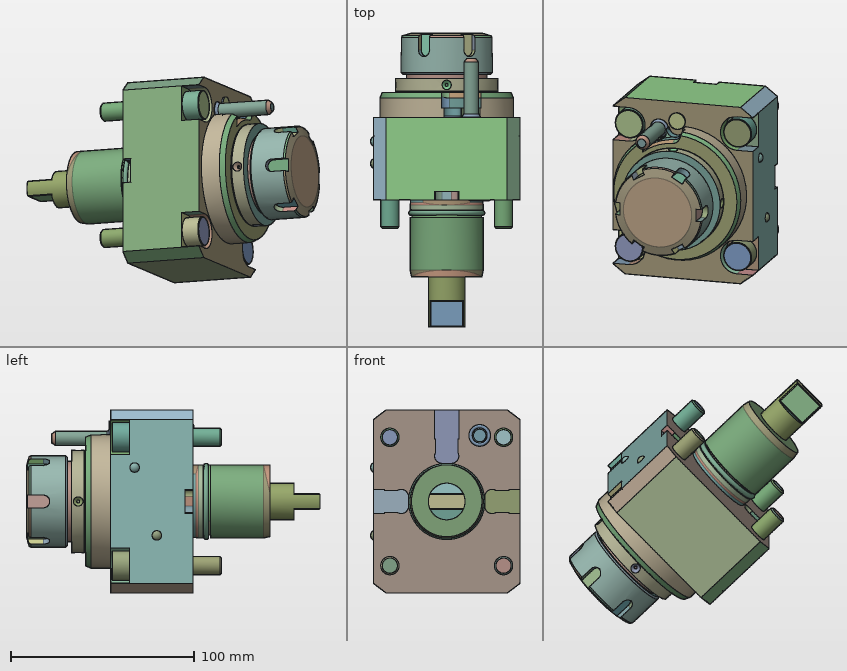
import cadquery as cq


BODY_WIDTH = 80.0
BODY_LENGTH = 45.0
BODY_HEIGHT = 100.0
CORNER_CUT_X = 7.0
CORNER_CUT_Z = 5.3

SLOT_DEPTH = 4.5
SLOT_MOUTH_WIDTH = 13.2
SLOT_WIDTH = 12.2
SLOT_MOUTH_START = 34.0
SLOT_END = 20.8
SLOT_RELIEF_RADIUS = 4.0
SLOT_RELIEF_OFFSET = 2.6

BOLT_X = 31.0
BOLT_Z = 35.0
BOLT_RADIUS = 5.0
BOLT_TIP_Y = -15.5
BOLT_TIP_CHAMFER = 0.85
HEAD_RADIUS = 8.0
HEAD_TOP_Y = 44.3
HEAD_CHAMFER = 0.4
HEAD_SEAT_Y = 34.7
HEAD_POCKET_WIDTH = 19.0

SHANK_RADIUS = 20.0
SHANK_END_Y = -42.0
SHANK_TAPER_Y = -38.3
SHANK_END_RADIUS = 19.2
NECK_RADIUS = 19.75
NECK_END_Y = -1.5
NECK_TAPER_END_Y = -2.8
GROOVE_START_Y = -5.5
GROOVE_END_Y = -9.5
GROOVE_RADIUS = 18.4
ORING_Y = -7.1
ORING_SECTION = 1.4
ORING_RADIUS = 19.4
CORE_RADIUS = 19.0
CORE_OFFSET = SHANK_RADIUS - CORE_RADIUS

SHAFT_RADIUS = 10.0
SHAFT_SHOULDER_Y = -55.0
TANG_TIP_Y = -69.2
TANG_THICKNESS = 8.6
TANG_CHAMFER = 0.45

FLANGE_RADIUS = 36.5
FLANGE_FACE_RADIUS = 35.2
FLANGE_CHAMFER_Y = 55.6
FLANGE_END_Y = 58.6
RING_RADIUS = 28.0
RING_STEP_RADIUS = 27.6
RING_STEP_Y = 58.9
RING_CHAMFER_Y = 59.4
RING_END_Y = 66.3
NOSE_NECK_RADIUS = 22.0
NUT_START_Y = 68.5
NUT_CHAMFER = 1.0
NUT_RADIUS = 25.0
NUT_EDGE_Y = 88.5
NUT_RIM_Y = 89.5
NUT_RIM_RADIUS = 24.5
NUT_FACE_RADIUS = 19.5
NUT_END_Y = 90.9

SPANNER_SLOT_COUNT = 6
SPANNER_SLOT_WIDTH = 6.9
SPANNER_SLOT_END_Y = 78.2
SPANNER_SLOT_FLOOR = 21.7

RECESS_COUNT = 4
RECESS_Y = 62.7
RECESS_RADIUS = 2.6
RECESS_DEPTH = 1.8
SOCKET_RADIUS = 0.8
SOCKET_DEPTH = 1.5

SCREW_X = 3.15
SCREW_Z = 39.25
SCREW_RADIUS = 4.65
SCREW_TOP_Y = 45.85
SCREW_CLEARANCE_Z = 36.0
PIN_X = 13.4
PIN_Z = 34.4
PIN_RADIUS = 4.0
PIN_COLLAR_RADIUS = 5.1
PIN_COLLAR_Y = 45.3
PIN_COLLAR_TOP_Y = 46.9
PIN_SHOULDER_Y = 75.1
PIN_TIP_Y = 77.2
PIN_TIP_RADIUS = 2.4
PIN_CLEARANCE_RADIUS = 5.6
CLEARANCE_END_Y = 50.2
NOTCH_LEFT_X = -2.9
NOTCH_RIGHT_X = 18.8
NOTCH_DEPTH = 4.8
NOTCH_CORNER_RADIUS = 4.5

PORT_X = 18.0
PORT_Z = 36.0
PORT_RADIUS = 3.4
PORT_DEPTH = 10.0
SEAL_RADIUS = 5.0
SEAL_SECTION = 1.1
SEAL_PROTRUSION = 0.5

DOME_PLACES = [(31.9, 18.5), (19.8, -18.5)]
DOME_BASE_RADIUS = 2.6
DOME_HEIGHT = 1.6

MARGIN = 1.0


def rod(x, z, radius, y_start, y_end):
    """Cylinder parallel to Y from y_start up to y_end."""
    start = cq.Vector(x, y_start, z)
    return cq.Workplane(obj=cq.Solid.makeCylinder(radius, y_end - y_start, start, cq.Vector(0, 1, 0)))


def turned(profile, x=0, z=0):
    """Revolve a (radius, y) profile about the line parallel to Y through (x, z)."""
    outline = [(0, profile[0][1])] + profile + [(0, profile[-1][1])]
    solid = cq.Workplane("XY").polyline(outline).close().revolve(360, (0, 0), (0, 1))
    return solid.translate((x, 0, z))


def torus(x, y, z, radius, section):
    """Torus whose axis is parallel to Y."""
    return cq.Workplane(obj=cq.Solid.makeTorus(radius, section, cq.Vector(x, y, z), cq.Vector(0, 1, 0)))


def box(x_range, y_range, z_range):
    """Axis-aligned block between the given limits."""
    spans = [limits[1] - limits[0] for limits in (x_range, y_range, z_range)]
    corner = (x_range[0], y_range[0], z_range[0])
    return cq.Workplane("XY").box(*spans, centered=False).translate(corner)


def about_spindle(solid, angle):
    """Turn a solid about the spindle axis."""
    return solid.rotate((0, 0, 0), (0, 1, 0), angle)


def make_block():
    half_width = BODY_WIDTH / 2
    half_height = BODY_HEIGHT / 2
    cut_x = half_width - CORNER_CUT_X
    cut_z = half_height - CORNER_CUT_Z
    outline = [
        (half_width, -cut_z), (half_width, cut_z), (cut_x, half_height), (-cut_x, half_height),
        (-half_width, cut_z), (-half_width, -cut_z), (-cut_x, -half_height), (cut_x, -half_height),
    ]
    return cq.Workplane("XZ").polyline(outline).close().extrude(-BODY_LENGTH)


def make_key_slot():
    """Key slot running up (+Z) from its closed end past the top of the housing."""
    top = BODY_HEIGHT / 2 + MARGIN
    relief_z = SLOT_END + SLOT_RELIEF_RADIUS
    slot = box((-SLOT_WIDTH / 2, SLOT_WIDTH / 2), (0, SLOT_DEPTH), (relief_z, top))
    mouth_half = SLOT_MOUTH_WIDTH / 2
    slot = slot.union(box((-mouth_half, mouth_half), (0, SLOT_DEPTH), (SLOT_MOUTH_START, top)))
    flat_end = box((-SLOT_RELIEF_OFFSET, SLOT_RELIEF_OFFSET), (0, SLOT_DEPTH), (SLOT_END, relief_z))
    slot = slot.union(flat_end)
    for side in (-1, 1):
        relief = rod(side * SLOT_RELIEF_OFFSET, relief_z, SLOT_RELIEF_RADIUS, 0, SLOT_DEPTH)
        slot = slot.union(relief)
    return slot


def make_head_pocket(side, z):
    """Round-ended bolt head pocket, open toward the nearer side of the housing."""
    half = HEAD_POCKET_WIDTH / 2
    inner_x = side * BOLT_X
    outer_x = side * (BODY_WIDTH / 2 + MARGIN)
    channel = box(sorted((inner_x, outer_x)), (HEAD_SEAT_Y, BODY_LENGTH), (z - half, z + half))
    return channel.union(rod(inner_x, z, half, HEAD_SEAT_Y, BODY_LENGTH))


def make_bolt(x, z):
    profile = [
        (BOLT_RADIUS - BOLT_TIP_CHAMFER, BOLT_TIP_Y),
        (BOLT_RADIUS, BOLT_TIP_Y + BOLT_TIP_CHAMFER),
        (BOLT_RADIUS, HEAD_SEAT_Y),
        (HEAD_RADIUS, HEAD_SEAT_Y),
        (HEAD_RADIUS, HEAD_TOP_Y - HEAD_CHAMFER),
        (HEAD_RADIUS - HEAD_CHAMFER, HEAD_TOP_Y),
    ]
    return turned(profile, x, z)


def make_shank():
    profile = [
        (SHANK_END_RADIUS, SHANK_END_Y),
        (SHANK_RADIUS, SHANK_TAPER_Y),
        (SHANK_RADIUS, GROOVE_END_Y),
        (GROOVE_RADIUS, GROOVE_END_Y),
        (GROOVE_RADIUS, GROOVE_START_Y),
        (SHANK_RADIUS, GROOVE_START_Y),
        (SHANK_RADIUS, NECK_TAPER_END_Y),
        (NECK_RADIUS, NECK_END_Y),
        (NECK_RADIUS, SLOT_DEPTH),
    ]
    shank = turned(profile)
    shank = shank.union(rod(0, CORE_OFFSET, CORE_RADIUS, SHANK_END_Y, SLOT_DEPTH))
    return shank.union(make_oring())


def make_oring():
    """O-ring with a round outer side, seated down to the groove floor."""
    bottom_y = ORING_Y - ORING_SECTION
    top_y = ORING_Y + ORING_SECTION
    section = (
        cq.Workplane("XY")
        .moveTo(GROOVE_RADIUS, bottom_y)
        .lineTo(ORING_RADIUS, bottom_y)
        .threePointArc((ORING_RADIUS + ORING_SECTION, ORING_Y), (ORING_RADIUS, top_y))
        .lineTo(GROOVE_RADIUS, top_y)
        .close()
    )
    return section.revolve(360, (0, 0), (0, 1))


def make_drive_shaft():
    half = TANG_THICKNESS / 2
    shaft = rod(0, 0, SHAFT_RADIUS, SHAFT_SHOULDER_Y, SHANK_END_Y)
    tang = rod(0, 0, SHAFT_RADIUS, TANG_TIP_Y, SHAFT_SHOULDER_Y)
    tang = tang.intersect(box((-SHAFT_RADIUS, SHAFT_RADIUS), (TANG_TIP_Y, SHAFT_SHOULDER_Y), (-half, half)))
    tang = tang.faces("<Z or >Z").chamfer(TANG_CHAMFER)
    return shaft.union(tang)


def make_nose():
    """Flange, lock ring, neck and clamping nut, turned in one piece."""
    profile = [
        (FLANGE_RADIUS, BODY_LENGTH),
        (FLANGE_RADIUS, FLANGE_CHAMFER_Y),
        (FLANGE_FACE_RADIUS, FLANGE_END_Y),
        (RING_STEP_RADIUS, FLANGE_END_Y),
        (RING_STEP_RADIUS, RING_STEP_Y),
        (RING_RADIUS, RING_CHAMFER_Y),
        (RING_RADIUS, RING_END_Y),
        (NOSE_NECK_RADIUS, RING_END_Y),
        (NOSE_NECK_RADIUS, NUT_START_Y),
        (NUT_RADIUS - NUT_CHAMFER, NUT_START_Y),
        (NUT_RADIUS, NUT_START_Y + NUT_CHAMFER),
        (NUT_RADIUS, NUT_EDGE_Y),
        (NUT_RIM_RADIUS, NUT_RIM_Y),
        (NUT_FACE_RADIUS, NUT_END_Y),
    ]
    return turned(profile)


def make_spanner_slot():
    """Round-ended slot cut down to a flat floor on the -X side of the nut."""
    half = SPANNER_SLOT_WIDTH / 2
    round_y = SPANNER_SLOT_END_Y + half
    channel = box((-NUT_RADIUS - MARGIN, -SPANNER_SLOT_FLOOR), (round_y, NUT_END_Y), (-half, half))
    depth = NUT_RADIUS + MARGIN - SPANNER_SLOT_FLOOR
    start = cq.Vector(-SPANNER_SLOT_FLOOR, round_y, 0)
    round_end = cq.Solid.makeCylinder(half, depth, start, cq.Vector(-1, 0, 0))
    return channel.union(cq.Workplane(obj=round_end))


def make_screw_recess():
    """Conical recess with a small socket at its bottom, on the top of the lock ring."""
    down = cq.Vector(0, 0, -1)
    mouth = cq.Vector(0, RECESS_Y, RING_RADIUS)
    cone = cq.Solid.makeCone(RECESS_RADIUS, SOCKET_RADIUS, RECESS_DEPTH, mouth, down)
    socket = cq.Solid.makeCylinder(SOCKET_RADIUS, RECESS_DEPTH + SOCKET_DEPTH, mouth, down)
    return cq.Workplane(obj=cone).union(cq.Workplane(obj=socket))


def make_flange_notch():
    """Clearance in the flange for the coolant pin and its screw; the floor follows the flange profile."""
    floor_profile = [
        (FLANGE_RADIUS - NOTCH_DEPTH, BODY_LENGTH),
        (FLANGE_RADIUS - NOTCH_DEPTH, FLANGE_CHAMFER_Y),
        (FLANGE_FACE_RADIUS - NOTCH_DEPTH, FLANGE_END_Y),
    ]
    notch = box((NOTCH_LEFT_X, NOTCH_RIGHT_X), (CLEARANCE_END_Y, FLANGE_END_Y), (0, FLANGE_RADIUS))
    notch = notch.cut(turned(floor_profile))
    floor_corner = cq.selectors.BoxSelector(
        (NOTCH_LEFT_X - MARGIN, CLEARANCE_END_Y + MARGIN, 0),
        (NOTCH_LEFT_X + MARGIN, FLANGE_END_Y - MARGIN, FLANGE_RADIUS - NOTCH_DEPTH + MARGIN),
    )
    notch = notch.edges(floor_corner).fillet(NOTCH_CORNER_RADIUS)
    notch = notch.union(rod(PIN_X, PIN_Z, PIN_CLEARANCE_RADIUS, BODY_LENGTH, CLEARANCE_END_Y))
    return notch.union(rod(SCREW_X, SCREW_CLEARANCE_Z, SCREW_RADIUS, BODY_LENGTH, CLEARANCE_END_Y))


def make_coolant_pin():
    profile = [
        (PIN_COLLAR_RADIUS, BODY_LENGTH),
        (PIN_COLLAR_RADIUS, PIN_COLLAR_Y),
        (PIN_RADIUS, PIN_COLLAR_TOP_Y),
        (PIN_RADIUS, PIN_SHOULDER_Y),
        (PIN_TIP_RADIUS, PIN_TIP_Y),
    ]
    screw_head = rod(SCREW_X, SCREW_Z, SCREW_RADIUS, BODY_LENGTH, SCREW_TOP_Y)
    return screw_head.union(turned(profile, PIN_X, PIN_Z))


def make_dome(y, z):
    """Spherical cap standing on the -X side of the housing."""
    sphere_radius = (DOME_BASE_RADIUS ** 2 + DOME_HEIGHT ** 2) / (2 * DOME_HEIGHT)
    centre_x = -BODY_WIDTH / 2 - DOME_HEIGHT + sphere_radius
    return cq.Workplane("XY").sphere(sphere_radius).translate((centre_x, y, z))


def make_holder():
    holder = make_block()
    for angle in (-90, 0, 90):
        holder = holder.cut(about_spindle(make_key_slot(), angle))

    nose = make_nose()
    for index in range(SPANNER_SLOT_COUNT):
        nose = nose.cut(about_spindle(make_spanner_slot(), index * 360 / SPANNER_SLOT_COUNT))
    for index in range(RECESS_COUNT):
        nose = nose.cut(about_spindle(make_screw_recess(), index * 360 / RECESS_COUNT))
    nose = nose.cut(make_flange_notch())

    for side in (-1, 1):
        for z in (-BOLT_Z, BOLT_Z):
            holder = holder.cut(make_head_pocket(side, z))
            holder = holder.union(make_bolt(side * BOLT_X, z))

    holder = holder.union(nose).union(make_shank()).union(make_drive_shaft()).union(make_coolant_pin())

    seal_y = SEAL_SECTION - SEAL_PROTRUSION
    holder = holder.union(torus(PORT_X, seal_y, PORT_Z, SEAL_RADIUS, SEAL_SECTION))
    holder = holder.cut(rod(PORT_X, PORT_Z, PORT_RADIUS, 0, PORT_DEPTH))

    for y, z in DOME_PLACES:
        holder = holder.union(make_dome(y, z))
    return holder


result = make_holder()